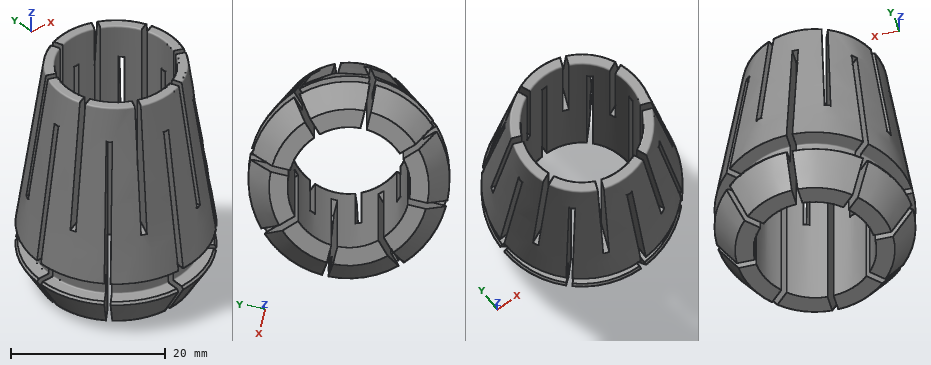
import cadquery as cq
import math

length = 34.0
outer_radius = 13.0
bore_radius = 15.88 / 2

taper_half_angle = 8.0
taper_start_z = 8.1

groove_radius = 11.0
groove_bottom_z = 5.0
flange_edge_z = 4.65
flange_half_angle = 30.0

rim_fillet = 0.25
flange_chamfer = 0.3
groove_fillet = 0.2

slots_per_end = 8
slot_width = 0.8
slot_overrun = 1.0
lower_slot_top_z = 29.0
upper_slot_bottom_z = 15.0
slot_pitch_angle = 360.0 / slots_per_end

top_radius = outer_radius - (length - taper_start_z) * math.tan(math.radians(taper_half_angle))
base_radius = outer_radius - flange_edge_z * math.tan(math.radians(flange_half_angle))


def revolved_body():
    """Collet blank: the wall section turned about Z, then its rim and groove corners rounded."""
    section = (
        cq.Workplane("XZ")
        .moveTo(bore_radius, 0)
        .lineTo(base_radius, 0)
        .lineTo(outer_radius, flange_edge_z)
        .lineTo(outer_radius - flange_chamfer, groove_bottom_z)
        .lineTo(groove_radius, groove_bottom_z)
        .lineTo(groove_radius, taper_start_z)
        .lineTo(outer_radius, taper_start_z)
        .lineTo(top_radius, length)
        .lineTo(bore_radius, length)
        .close()
    )
    blank = section.revolve(360, (0, 0, 0), (0, 1, 0))
    blank = blank.faces(">Z").edges().fillet(rim_fillet)
    corner_reach = groove_radius + groove_fillet
    groove_corners = cq.selectors.BoxSelector(
        (-corner_reach, -corner_reach, groove_bottom_z - groove_fillet),
        (corner_reach, corner_reach, taper_start_z + groove_fillet),
        boundingbox=True,
    )
    return blank.edges("%CIRCLE").edges(groove_corners).fillet(groove_fillet)


def slot_ring(bottom_z, top_z, first_angle):
    """Radial slot cutters, evenly spaced, each running from the axis through the wall."""
    cutter_reach = outer_radius + slot_overrun
    slot = (
        cq.Workplane("XY", origin=(0, 0, bottom_z))
        .box(cutter_reach, slot_width, top_z - bottom_z, centered=(False, True, False))
    )
    ring = cq.Workplane("XY")
    for index in range(slots_per_end):
        angle = first_angle + index * slot_pitch_angle
        ring = ring.add(slot.rotate((0, 0, 0), (0, 0, 1), angle))
    return ring.combine()


lower_slots = slot_ring(0, lower_slot_top_z, 0)
upper_slots = slot_ring(upper_slot_bottom_z, length, slot_pitch_angle / 2)

result = revolved_body().cut(lower_slots).cut(upper_slots)